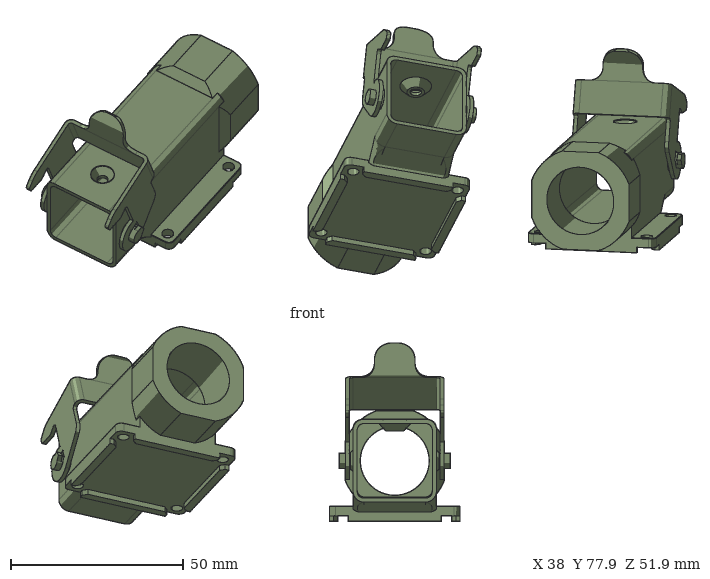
import cadquery as cq
import math


total_height = 51.9
back_y = 70.4
axis_z = 17.6

plate_width = 38.0
plate_front_y = 18.1
plate_back_y = plate_front_y + plate_width
plate_mid_y = (plate_front_y + plate_back_y) / 2
plate_bottom_z = 1.6
plate_top_z = 4.45
plate_corner_radius = 1.9
plate_edge_bevel = 0.15
hole_spacing = 31.7
hole_diameter = 3.35
foot_length = 27.1
foot_depth = 2.5
foot_chamfer = foot_depth / 2

hood_width = 24.15
hood_top_z = 29.6
mouth_corner = 2.5
rear_corner = 2.2
mouth_bottom_z = 5.6
mouth_length = 11.9
hood_bottom_radius = 3.1
belly_corner_height = 0.85
round_inset = 1 - math.cos(math.pi / 4)
shallow_inset = 0.4
belly_z = 2.7
wall = 1.2
cavity_radius = 1.95
floor_rise = 0.4

collar_radius = 15.5
collar_flat = 14.5
collar_front_y = 53.5
collar_chamfer = collar_flat - hood_width / 2
bore_radius = 10.0

screw_y = 10.9
screw_radius = 1.6
sink_radius = 3.4
sink_depth = 2.3
sink_lip = 0.3
boss_top_radius = 4.6
boss_bottom_radius = 2.6
boss_bottom_z = 26.25

pivot_y = 5.45
pin_radius = 2.25
pin_tip_x = 16.1
shoulder_radius = 2.5
shoulder_base_radius = 3.1
shoulder_cone_height = 0.8
tooth_inner_x = 14.8

lever_tilt = 20
lever_half_width = 14.3
sheet = 1.2
lever_bend_radius = 2.2
lobe_radius = 5.45
lever_back = 16.9
lever_top = 19.95
bridge_bottom = 10.05
arm_back = 13.4
arm_front = 2.0
arm_slope = 30
tab_curve_radius = 11.0
tab_half_width = 5.9
tab_tip_radius = 5.3
tab_root_radius = 3.9
keyhole_back = 3.1

tooth_outline = [(0, 0), (0, pin_radius), (2.0, pin_radius), (3.0, 0.7), (1.6, -1.55)]
keyhole_outline = [(0, 0), (0, pin_radius), (keyhole_back, pin_radius), (keyhole_back, -0.4), (1.55, -1.6)]


def rounded_outline(plane, corners):
    """Closed wire through (u, v, radius) corners, each rounded by its radius."""
    wire = cq.Workplane(plane)
    for i, (u, v, radius) in enumerate(corners):
        before = cq.Vector(*corners[i - 1][:2])
        after = cq.Vector(*corners[(i + 1) % len(corners)][:2])
        corner = cq.Vector(u, v)
        to_before = (before - corner).normalized()
        to_after = (after - corner).normalized()
        setback = radius / math.tan(to_before.getAngle(to_after) / 2)
        start = corner + to_before * setback
        end = corner + to_after * setback
        wire = wire.moveTo(start.x, start.y) if i == 0 else wire.lineTo(start.x, start.y)
        if radius > 0:
            wire = wire.tangentArcPoint((end.x, end.y), relative=False)
    return wire.close()


def box(x_min, x_max, y_min, y_max, z_min, z_max):
    size = (x_max - x_min, y_max - y_min, z_max - z_min)
    return cq.Workplane("XY").box(*size, centered=False).translate((x_min, y_min, z_min))


def y_cylinder(radius, y_min, y_max):
    """Cylinder around the collar axis."""
    return cq.Workplane("XZ", origin=(0, y_min, axis_z)).circle(radius).extrude(y_min - y_max)


def x_cylinder(radius, x_min, x_max):
    """Cylinder around the pivot axis."""
    return cq.Workplane("YZ", origin=(x_min, pivot_y, axis_z)).circle(radius).extrude(x_max - x_min)


def make_plate():
    plate = (
        box(-plate_width / 2, plate_width / 2, plate_front_y, plate_back_y, plate_bottom_z, plate_top_z)
        .edges("|Z").fillet(plate_corner_radius)
        .faces(">Z").edges().chamfer(plate_edge_bevel)
    )
    foot = (
        box(-foot_length / 2, foot_length / 2, -plate_width / 2, foot_depth - plate_width / 2,
            0, plate_bottom_z)
        .edges("|Z and >Y").chamfer(foot_chamfer)
    )
    for side in range(4):
        plate = plate.union(foot.rotate((0, 0, 0), (0, 0, 1), 90 * side).translate((0, plate_mid_y, 0)))
    return plate


def make_mount_holes():
    return (
        cq.Workplane("XY", origin=(0, plate_mid_y, 0))
        .rect(hole_spacing, hole_spacing, forConstruction=True).vertices()
        .circle(hole_diameter / 2).extrude(plate_top_z)
    )


def corner_cutter(stations, up):
    """Tool that rounds a lengthwise edge of the hood on the +X side.

    Each station is (y, edge z, width, height, inset). The inset is the share of the
    corner that is cut away at the middle of the rounding. up is 1 for an upper edge
    and -1 for a lower one.
    """
    edge_x = hood_width / 2
    margin = 0.8
    wires = []
    for y, edge_z, width, height, inset in stations:
        on_side = (edge_x, edge_z - up * height)
        on_face = (edge_x - width, edge_z)
        middle = (edge_x - inset * width, edge_z - up * inset * height)
        outside_z = edge_z + up * margin
        wires.append(
            cq.Workplane("XZ", origin=(0, y, 0))
            .moveTo(*on_side)
            .lineTo(edge_x + margin, on_side[1])
            .lineTo(edge_x + margin, outside_z)
            .lineTo(on_face[0], outside_z)
            .lineTo(*on_face)
            .threePointArc(middle, on_side)
            .wire().val()
        )
    return cq.Workplane(cq.Solid.makeLoft(wires))


def make_hood():
    run = plate_front_y - mouth_length
    drop = mouth_bottom_z - belly_z
    arc_radius = (run ** 2 + drop ** 2) / (2 * drop)
    hood = (
        cq.Workplane("YZ")
        .moveTo(0, hood_top_z)
        .lineTo(0, mouth_bottom_z)
        .lineTo(mouth_length, mouth_bottom_z)
        .tangentArcPoint((run, -drop))
        .lineTo(plate_front_y, plate_bottom_z)
        .lineTo(plate_back_y, plate_bottom_z)
        .lineTo(plate_back_y, hood_top_z)
        .close()
        .extrude(hood_width / 2, both=True)
    )

    top_cutter = corner_cutter([
        (0, hood_top_z, mouth_corner, mouth_corner, round_inset),
        (plate_back_y, hood_top_z, rear_corner, rear_corner, shallow_inset),
    ], 1)

    def belly_station(share):
        along = share * run
        edge_z = mouth_bottom_z - arc_radius + math.sqrt(arc_radius ** 2 - along ** 2)
        start_z = mouth_bottom_z + hood_bottom_radius
        end_z = belly_z + belly_corner_height
        height = start_z + share * (end_z - start_z) - edge_z
        return mouth_length + along, edge_z, hood_bottom_radius, height, round_inset

    mouth_station = (0, mouth_bottom_z, hood_bottom_radius, hood_bottom_radius, round_inset)
    mouth_cutter = corner_cutter([mouth_station, belly_station(0)], -1)
    belly_cutter = corner_cutter([belly_station(share) for share in (0, 0.5, 1)], -1)

    for cutter in (top_cutter, mouth_cutter, belly_cutter):
        hood = hood.cut(cutter).cut(cutter.mirror("YZ"))
    return hood


def make_collar():
    length = back_y - collar_front_y
    flats = (
        cq.Workplane("XZ", origin=(0, collar_front_y, axis_z))
        .rect(2 * collar_flat, 2 * collar_flat).extrude(-length)
        .faces("<Y").edges().chamfer(collar_chamfer)
    )
    return y_cylinder(collar_radius, collar_front_y, back_y).intersect(flats)


def make_cavity():
    floor_z = mouth_bottom_z + wall
    roof_z = hood_top_z - wall
    return (
        cq.Workplane("YZ")
        .moveTo(0, floor_z)
        .lineTo(collar_front_y, floor_z + floor_rise)
        .lineTo(collar_front_y, roof_z)
        .lineTo(0, roof_z)
        .close()
        .extrude(hood_width / 2 - wall, both=True)
        .faces("<X or >X").edges("not |Z").fillet(cavity_radius)
    )


def make_screw_boss():
    def cone(bottom_radius, bottom_z, top_radius, top_z):
        return (
            cq.Workplane("XY", origin=(0, screw_y, bottom_z)).circle(bottom_radius)
            .workplane(offset=top_z - bottom_z).circle(top_radius).loft()
        )

    def cylinder(radius, bottom_z, top_z):
        return cq.Workplane("XY", origin=(0, screw_y, bottom_z)).circle(radius).extrude(top_z - bottom_z)

    boss = cone(boss_bottom_radius, boss_bottom_z, boss_top_radius, hood_top_z - wall)
    sink = cone(screw_radius, hood_top_z - sink_depth, sink_radius, hood_top_z - sink_lip)
    lip = cylinder(sink_radius, hood_top_z - sink_lip, hood_top_z)
    hole = cylinder(screw_radius, boss_bottom_z, hood_top_z)
    return boss, sink.union(lip).union(hole)


def make_pivot():
    """Pin with a conical shoulder and a locking tooth, on the +X side."""
    side_x = hood_width / 2
    cone_end_x = side_x + shoulder_cone_height
    lever_inner_x = lever_half_width - sheet
    cone = (
        cq.Workplane("YZ", origin=(side_x, pivot_y, axis_z)).circle(shoulder_base_radius)
        .workplane(offset=shoulder_cone_height).circle(shoulder_radius).loft()
    )
    shoulder = x_cylinder(shoulder_radius, cone_end_x, lever_inner_x)
    pin = x_cylinder(pin_radius, cone_end_x, pin_tip_x)
    tooth = (
        cq.Workplane("YZ", origin=(tooth_inner_x, pivot_y, axis_z))
        .polyline(tooth_outline).close()
        .extrude(pin_tip_x - tooth_inner_x)
    )
    return cone.union(shoulder).union(pin).union(tooth)


def tilt(lever_part):
    return lever_part.rotate((0, 0, 0), (1, 0, 0), lever_tilt).translate((0, pivot_y, axis_z))


def make_lever_frame():
    slope = math.radians(arm_slope)
    tangent_y = lobe_radius * math.sin(slope)
    tangent_z = -lobe_radius * math.cos(slope)
    corner_z = tangent_z + (arm_back - tangent_y) * math.tan(slope)
    side_outline = [
        (lever_back, lever_top, 0),
        (lever_back, bridge_bottom, 0),
        (arm_back, bridge_bottom, 0.9),
        (arm_back, corner_z, 3.5),
        (tangent_y, tangent_z, 0),
        (arm_front, 0, 0),
        (arm_front, 15.5, 0.9),
        (-1.7, 14.1, 1.95),
        (-7.1, 16.0, 0.55),
        (-7.4, 17.9, 0.7),
        (-3.75, lever_top, 6.2),
    ]
    side = rounded_outline("YZ", side_outline).extrude(lever_half_width, both=True)
    lobe = cq.Workplane("YZ").circle(lobe_radius).extrude(lever_half_width, both=True)

    reach = 2 * lever_back
    inner_half = lever_half_width - sheet

    def bent_block(half_width, back, radius):
        return box(-half_width, half_width, -reach, back, -reach, reach).edges("|Z and >Y").fillet(radius)

    bent_sheet = bent_block(lever_half_width, lever_back, lever_bend_radius).cut(
        bent_block(inner_half, lever_back - sheet, lever_bend_radius - sheet))

    keyhole = (
        cq.Workplane("YZ")
        .polyline(keyhole_outline).close()
        .extrude(lever_half_width, both=True)
    )
    return tilt(side.union(lobe).intersect(bent_sheet).cut(keyhole))


def make_lever_tab():
    front_y = lever_back - sheet
    center_y = front_y + tab_curve_radius
    tilt_angle = math.radians(lever_tilt)
    center_height = axis_z + center_y * math.sin(tilt_angle) + lever_top * math.cos(tilt_angle)
    sweep = math.asin((total_height - center_height) / tab_curve_radius) + tilt_angle

    def on_arc(radius, angle):
        return center_y - radius * math.cos(angle), lever_top + radius * math.sin(angle)

    inner_radius = tab_curve_radius - sheet
    strip = (
        cq.Workplane("YZ")
        .moveTo(*on_arc(tab_curve_radius, 0))
        .threePointArc(on_arc(tab_curve_radius, sweep / 2), on_arc(tab_curve_radius, sweep))
        .lineTo(*on_arc(inner_radius, sweep))
        .threePointArc(on_arc(inner_radius, sweep / 2), on_arc(inner_radius, 0))
        .close().extrude(lever_half_width, both=True)
    )

    def cut_across_sheet(outline, angle):
        """Prism through the strip, square to the sheet at an angle along its curve."""
        prism = rounded_outline("XZ", outline).extrude(2 * tab_curve_radius)
        return prism.rotate((0, 0, 0), (1, 0, 0), -math.degrees(angle)).translate((0, center_y, lever_top))

    reach = 2 * tab_curve_radius
    root_half = tab_half_width + 2 * tab_root_radius
    flared_root = cut_across_sheet([
        (-root_half, -sheet, 0),
        (root_half, -sheet, 0),
        (root_half, 0, 0),
        (tab_half_width, 0, tab_root_radius),
        (tab_half_width, reach, 0),
        (-tab_half_width, reach, 0),
        (-tab_half_width, 0, tab_root_radius),
        (-root_half, 0, 0),
    ], 0)

    tip_angle = 0.75 * sweep
    tip = tab_curve_radius * math.sin(sweep - tip_angle)
    shoulder = tip - tab_half_width
    round_tip = cut_across_sheet([
        (-root_half, -reach, 0),
        (root_half, -reach, 0),
        (root_half, shoulder, 0),
        (tab_half_width, shoulder, 0),
        (tab_half_width, tip, tab_tip_radius),
        (-tab_half_width, tip, tab_tip_radius),
        (-tab_half_width, shoulder, 0),
        (-root_half, shoulder, 0),
    ], tip_angle)
    return tilt(strip.intersect(flared_root).intersect(round_tip))


boss, screw_hole = make_screw_boss()
pivot = make_pivot()

result = (
    make_hood()
    .union(make_collar())
    .union(make_plate())
    .cut(make_mount_holes())
    .cut(make_cavity())
    .cut(y_cylinder(bore_radius, 0, back_y))
    .union(boss)
    .cut(screw_hole)
    .union(make_lever_frame())
    .union(make_lever_tab())
    .union(pivot)
    .union(pivot.mirror("YZ"))
)